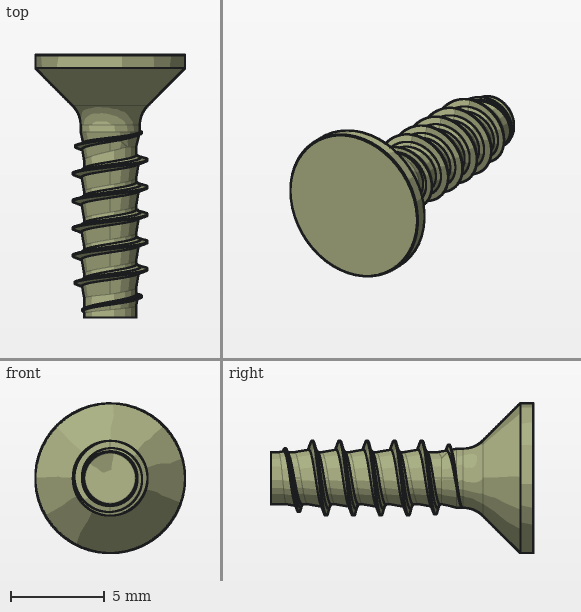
import cadquery as cq
import math

LENGTH = 14.0
HEAD_DIAMETER = 8.0
HEAD_RADIUS = HEAD_DIAMETER / 2
RIM_DEPTH = 0.71
RIM_EDGE = 0.04
NECK_RADIUS = 1.58
NECK_FILLET = 1.48
NECK_FILLET_END = 3.75
NECK_END = 4.1
CORE_START = 4.9
CORE_DIAMETER = 2.79
CORE_RADIUS = CORE_DIAMETER / 2
TIP_DIMPLE_RADIUS = 1.33
TIP_DIMPLE_DEPTH = 0.11

PITCH = 1.45
TURNS = 7
THREAD_START = 3.78
START_HEIGHT = 0.3
END_HEIGHT = 0.02
RUN_IN_TURNS = 1.5
RUN_OUT_TURNS = 1.5
SEGMENTS_PER_TURN = 2
POINTS_PER_SEGMENT = 12
JOIN_TOLERANCE = 0.001
ROOT_SINK = 0.13

RIDGE_SECTION = [
    (-0.27, 0.0),
    (-0.119, 0.22),
    (-0.03, 0.6),
    (0.03, 0.6),
    (0.2, 0.133),
    (0.97, 0.0),
]


def make_body():
    """Head, fillet, neck, core and dimpled tip turned around the Y axis."""
    bend = math.radians(45)
    fillet_start_radius = NECK_RADIUS + NECK_FILLET * (1 - math.cos(bend))
    fillet_start = NECK_FILLET_END - NECK_FILLET * math.sin(bend)
    fillet_mid = (
        NECK_RADIUS + NECK_FILLET * (1 - math.cos(bend / 2)),
        -(NECK_FILLET_END - NECK_FILLET * math.sin(bend / 2)),
    )
    profile = (
        cq.Workplane("XY")
        .moveTo(0, 0)
        .lineTo(HEAD_RADIUS - RIM_EDGE, 0)
        .lineTo(HEAD_RADIUS, -RIM_EDGE)
        .lineTo(HEAD_RADIUS, -RIM_DEPTH)
        .lineTo(fillet_start_radius, -fillet_start)
        .threePointArc(fillet_mid, (NECK_RADIUS, -NECK_FILLET_END))
        .lineTo(NECK_RADIUS, -NECK_END)
        .lineTo(CORE_RADIUS, -CORE_START)
        .lineTo(CORE_RADIUS, -LENGTH)
        .lineTo(TIP_DIMPLE_RADIUS, -LENGTH)
        .lineTo(0, -(LENGTH - TIP_DIMPLE_DEPTH))
        .close()
    )
    return profile.revolve(360, (0, 0, 0), (0, 1, 0))


def ridge_scale(turn):
    """Fraction of the full ridge section after the given number of turns."""
    run_out_start = TURNS - RUN_OUT_TURNS
    if turn < RUN_IN_TURNS:
        growth = math.sin(math.pi / 2 * turn / RUN_IN_TURNS)
        return START_HEIGHT + (1 - START_HEIGHT) * growth
    if turn > run_out_start:
        return 1 - (1 - END_HEIGHT) * (turn - run_out_start) / RUN_OUT_TURNS
    return 1.0


def section_point(turn, offset, height):
    """Place one section corner on the helix; the sunken roots keep their depth."""
    scale = ridge_scale(turn)
    rise = height * scale if height > 0 else height
    radius = CORE_RADIUS + rise
    depth = THREAD_START + PITCH * turn + offset * scale
    angle = 2 * math.pi * turn - math.pi / 2
    return cq.Vector(radius * math.cos(angle), -depth, radius * math.sin(angle))


def make_thread():
    """Closed solid of ruled helical faces between the section corners."""
    first_root = (RIDGE_SECTION[0][0], -ROOT_SINK)
    last_root = (RIDGE_SECTION[-1][0], -ROOT_SINK)
    corners = [first_root, *RIDGE_SECTION, last_root]
    faces = []
    for segment in range(TURNS * SEGMENTS_PER_TURN):
        turns = [
            (segment + step / POINTS_PER_SEGMENT) / SEGMENTS_PER_TURN
            for step in range(POINTS_PER_SEGMENT + 1)
        ]
        helices = [
            cq.Edge.makeSpline([section_point(turn, *corner) for turn in turns])
            for corner in corners
        ]
        for i, helix in enumerate(helices):
            faces.append(cq.Face.makeRuledSurface(helix, helices[i - 1]))
    for turn in (0, TURNS):
        cap = [section_point(turn, *corner) for corner in corners]
        faces.append(cq.Face.makeFromWires(cq.Wire.makePolygon(cap, close=True)))
    thread = cq.Solid.makeSolid(cq.Shell.makeShell(faces))
    return cq.Workplane(thread.fix())


thread = make_thread()
result = make_body().union(thread, tol=JOIN_TOLERANCE)